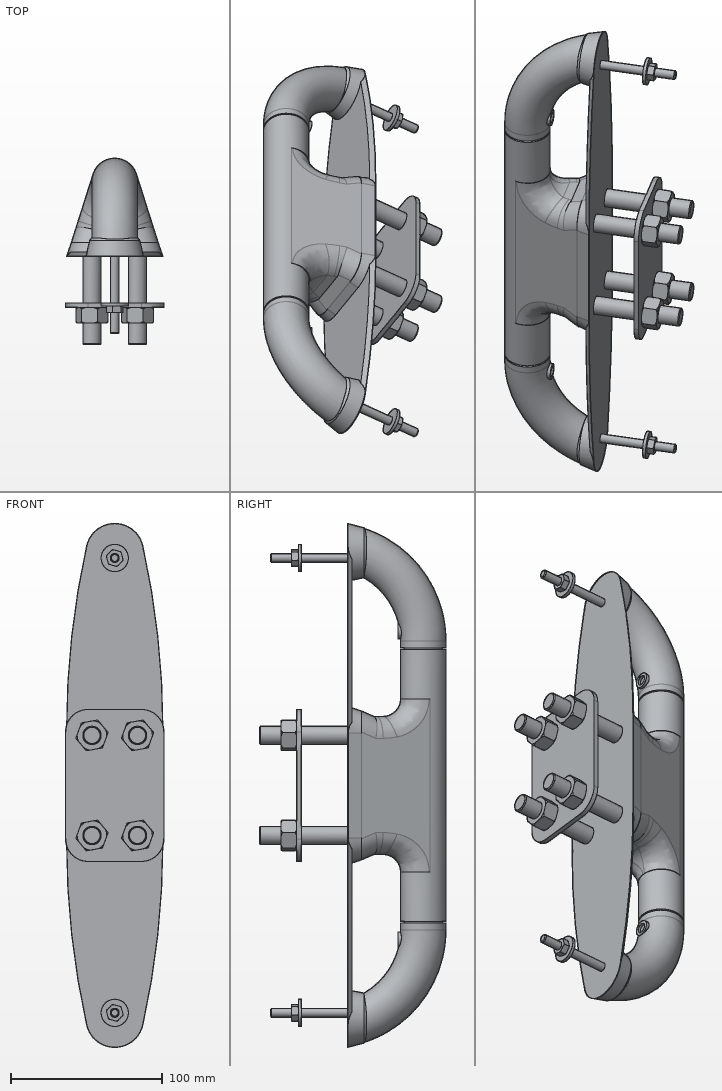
import cadquery as cq
import math

length = 346.0
plate_half_width = 31.8
plate_thick = 3.0
plate_bevel = 2.8
plate_straight = 37.7
plate_side_radius = 553.5

tube_dia = 30.0
handrail_height = 65.0
bend_start = 95.5
bend_radius = 63.0
groove_z = 90.3
groove_width = 1.0
groove_dia = 25.2

web_end = 45.5
web_round = 14.5
throat_radius = 11.5
foot_height = 9.5
foot_half_length = 52.2
foot_inset = 3.0
flare_start = 17.3

socket_height = 10.7
socket_mid_z = 153.5
socket_top_dia = 33.2
bead_height = 1.7
bead_top_dia = 30.5

screw_z = 102.0
screw_dia = 10.7
screw_face_y = 33.2
screw_recess_dia = 6.5
screw_recess_depth = 1.7

clamp_face_y = -30.5
clamp_thick = 3.0
clamp_width = 65.0
clamp_length = 100.3
clamp_corner = 15.0
bolt_spacing_x = 30.0
bolt_spacing_z = 66.0
bolt_dia = 12.0
bolt_end_y = -58.0
nut_flats = 18.7
nut_height = 10.5
nut_angle = 10.0
nut_chamfer = 1.0
stud_z = 150.0
stud_dia = 6.0
stud_end_y = -51.0
end_chamfer = 0.7
washer_dia = 18.0
washer_thick = 2.0
small_nut_flats = 10.0
small_nut_height = 4.5
small_nut_chamfer = 0.5
small_nut_angle = -15.0

tube_radius = tube_dia / 2
tube_axis_y = handrail_height - tube_radius
bolt_x = bolt_spacing_x / 2
bolt_z = bolt_spacing_z / 2
half_length = length / 2
side_centre_x = plate_half_width - plate_side_radius
end_reach = half_length - plate_straight
plate_end_radius = (plate_side_radius**2 - side_centre_x**2 - end_reach**2) / (
    2 * (plate_side_radius - end_reach)
)
plate_end_z = half_length - plate_end_radius


def cylinder_y(dia, y_from, y_to, x=0.0, z=0.0):
    """Cylinder along Y between two heights."""
    low = min(y_from, y_to)
    height = abs(y_to - y_from)
    start = cq.Vector(x, low, z)
    along_y = cq.Vector(0, 1, 0)
    return cq.Workplane(cq.Solid.makeCylinder(dia / 2, height, start, along_y))


def plane_at(y):
    """Sketch plane at height y: local x is X, local y is Z, normal is -Y."""
    return cq.Workplane("XZ", origin=(0, y, 0))


def base_plate():
    turn = math.atan2(plate_end_z - plate_straight, -side_centre_x)

    def side_point(angle):
        return (
            side_centre_x + plate_side_radius * math.cos(angle),
            plate_straight + plate_side_radius * math.sin(angle),
        )

    mid_x, mid_z = side_point(turn / 2)
    end_x, end_z = side_point(turn)
    return (
        plane_at(plate_thick)
        .moveTo(plate_half_width, -plate_straight)
        .lineTo(plate_half_width, plate_straight)
        .threePointArc((mid_x, mid_z), (end_x, end_z))
        .threePointArc((0, half_length), (-end_x, end_z))
        .threePointArc((-mid_x, mid_z), (-plate_half_width, plate_straight))
        .lineTo(-plate_half_width, -plate_straight)
        .threePointArc((-mid_x, -mid_z), (-end_x, -end_z))
        .threePointArc((0, -half_length), (end_x, -end_z))
        .threePointArc((mid_x, -mid_z), (plate_half_width, -plate_straight))
        .close()
        .extrude(plate_thick)
        .faces(">Y")
        .chamfer(plate_bevel)
    )


def straight_tube():
    tube = (
        cq.Workplane("XY", origin=(0, tube_axis_y, -bend_start))
        .circle(tube_radius)
        .extrude(2 * bend_start)
    )
    for side in (1, -1):
        groove = (
            cq.Workplane("XY", origin=(0, tube_axis_y, side * groove_z - groove_width / 2))
            .circle(tube_dia)
            .circle(groove_dia / 2)
            .extrude(groove_width)
        )
        tube = tube.cut(groove)
    return tube


def bend():
    """Bend at the +Z end, trimmed at the plate's bolting face."""
    elbow = (
        cq.Workplane("XY", origin=(0, tube_axis_y, bend_start))
        .circle(tube_radius)
        .revolve(90, (-3.5, -bend_radius, 0), (3.5, -bend_radius, 0))
    )
    below_plate = cq.Workplane("XY").box(length, length, 2 * length).translate((0, -length / 2, 0))
    return elbow.cut(below_plate)


def socket():
    """Tapered collar and bead where the bend lands on the plate's +Z end."""
    collar = (
        plane_at(0)
        .center(0, plate_end_z)
        .circle(plate_end_radius)
        .workplane(offset=-socket_height)
        .center(0, socket_mid_z - plate_end_z)
        .circle(socket_top_dia / 2)
        .loft()
    )
    bead = (
        plane_at(socket_height)
        .center(0, socket_mid_z)
        .circle(socket_top_dia / 2)
        .workplane(offset=-bead_height)
        .circle(bead_top_dia / 2)
        .loft()
    )
    return collar.union(bead)


def web_foot():
    """Tapered pad that spreads the web out to the plate's edge."""
    taper = math.degrees(math.atan2(foot_inset, foot_height))
    return (
        cq.Workplane("XZ")
        .sketch()
        .rect(2 * plate_half_width, 2 * foot_half_length)
        .vertices()
        .fillet(web_round + foot_inset)
        .finalize()
        .extrude(-foot_height, taper=taper)
    )


def web():
    """Wedge whose flanks run tangent off the tube, with concave rounded ends."""
    foot_top_x = plate_half_width - foot_inset
    foot_top_z = foot_half_length - foot_inset
    drop = tube_axis_y - foot_height
    reach = math.hypot(foot_top_x, drop)
    lean = math.acos(tube_radius / reach) - math.atan2(drop, foot_top_x)
    touch_x = tube_radius * math.cos(lean)
    touch_y = tube_axis_y + tube_radius * math.sin(lean)
    tube_top = tube_axis_y + tube_radius
    tube_bottom = tube_axis_y - tube_radius
    throat_y = tube_bottom - throat_radius
    throat_end = web_end + throat_radius
    throat_mid = throat_radius * math.sqrt(0.5)
    wedge = (
        cq.Workplane("XY", origin=(0, 0, -throat_end))
        .moveTo(-foot_top_x, foot_height)
        .lineTo(foot_top_x, foot_height)
        .lineTo(touch_x, touch_y)
        .threePointArc((0, tube_top), (-touch_x, touch_y))
        .close()
        .extrude(2 * throat_end)
    )
    side_profile = (
        cq.Workplane("YZ", origin=(-plate_half_width, 0, 0))
        .moveTo(foot_height, 0)
        .lineTo(foot_height, foot_top_z)
        .lineTo(flare_start, web_end)
        .lineTo(throat_y, web_end)
        .threePointArc((throat_y + throat_mid, throat_end - throat_mid), (tube_bottom, throat_end))
        .lineTo(tube_top, throat_end)
        .lineTo(tube_top, 0)
        .close()
        .extrude(2 * plate_half_width)
    )
    half = wedge.intersect(side_profile)
    end_corners = [
        edge
        for edge in half.edges().vals()
        if abs(edge.Center().x) > tube_radius
        and edge.Center().z > web_end - throat_radius
        and edge.Center().y < tube_bottom
    ]
    half = half.newObject(end_corners).fillet(web_round)
    return half.union(half.mirror("XY"))


def set_screw():
    return cylinder_y(screw_dia, screw_face_y, tube_axis_y, z=screw_z)


def screw_recess():
    return cylinder_y(screw_recess_dia, screw_face_y, screw_face_y + screw_recess_depth, z=screw_z)


def threaded_rod(dia, end_y, x, z):
    return cylinder_y(dia, end_y, plate_thick, x, z).faces("<Y").chamfer(end_chamfer)


def hex_nut(flats, height, angle, chamfer, seat_y, x, z):
    """Nut lying against seat_y, chamfered around both ends."""
    corner_dia = flats / math.cos(math.pi / 6)
    blank = (
        plane_at(seat_y)
        .polygon(6, corner_dia)
        .extrude(height)
        .rotate((0, 0, 0), (0, 1, 0), -angle)
        .translate((x, 0, z))
    )
    turned = cylinder_y(corner_dia, seat_y - height, seat_y, x, z).faces("<Y or >Y").chamfer(chamfer)
    return blank.intersect(turned)


def clamp_plate():
    return (
        plane_at(clamp_face_y)
        .rect(clamp_width, clamp_length)
        .extrude(clamp_thick)
        .edges("|Y")
        .fillet(clamp_corner)
    )


result = base_plate().union(straight_tube()).union(web_foot()).union(web()).union(clamp_plate())

for part in (bend(), socket(), set_screw()):
    result = result.union(part).union(part.mirror("XY"))
recess = screw_recess()
result = result.cut(recess).cut(recess.mirror("XY"))

nut_seat_y = clamp_face_y - clamp_thick
for x in (bolt_x, -bolt_x):
    for z in (bolt_z, -bolt_z):
        bolt = threaded_rod(bolt_dia, bolt_end_y, x, z)
        nut = hex_nut(nut_flats, nut_height, nut_angle, nut_chamfer, nut_seat_y, x, z)
        result = result.union(bolt).union(nut)

washer_back_y = clamp_face_y - washer_thick
for z in (stud_z, -stud_z):
    stud = threaded_rod(stud_dia, stud_end_y, 0, z)
    washer = cylinder_y(washer_dia, clamp_face_y, washer_back_y, z=z)
    nut = hex_nut(
        small_nut_flats, small_nut_height, small_nut_angle, small_nut_chamfer, washer_back_y, 0, z
    )
    result = result.union(stud).union(washer).union(nut)